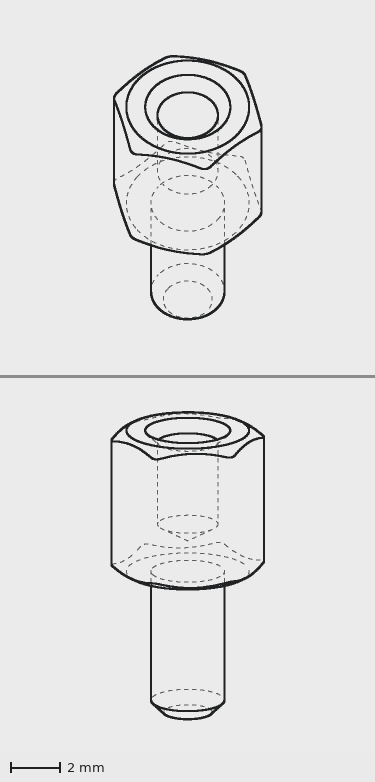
import cadquery as cq
import math

total_length = 12.0
head_length = total_length / 2
stud_length = total_length - head_length

across_flats = 5.5
edge_radius = 0.4
face_diameter = 5.0
end_bevel_angle = 30.0

stud_diameter = 3.0
stud_tip_chamfer = 0.5

bore_diameter = 2.46
bore_depth = 4.0
bore_tip_angle = 120.0
countersink_diameter = 3.47

across_corners = across_flats / math.cos(math.radians(30))


def make_head():
    """Hexagon with flats facing +X and -X, bevelled by a cone at both ends."""
    hexagon = (
        cq.Workplane("XY")
        .polygon(6, across_corners)
        .extrude(head_length)
        .rotate((0, 0, 0), (0, 0, 1), 30)
        .edges("|Z")
        .fillet(edge_radius)
    )
    face_radius = face_diameter / 2
    outer_radius = across_corners / 2
    bevel_height = (outer_radius - face_radius) * math.tan(math.radians(end_bevel_angle))
    envelope = (
        cq.Workplane("XZ")
        .moveTo(0, 0)
        .lineTo(face_radius, 0)
        .lineTo(outer_radius, bevel_height)
        .lineTo(outer_radius, head_length - bevel_height)
        .lineTo(face_radius, head_length)
        .lineTo(0, head_length)
        .close()
        .revolve(360, (0, 0), (0, 1))
    )
    return hexagon.intersect(envelope)


def make_stud():
    """Round stud below the head with a chamfered tip."""
    return (
        cq.Workplane("XY")
        .circle(stud_diameter / 2)
        .extrude(-stud_length)
        .faces("<Z")
        .chamfer(stud_tip_chamfer)
    )


def make_bore():
    """Blind drilled hole from the top face, with countersink and pointed bottom."""
    bore_radius = bore_diameter / 2
    countersink_radius = countersink_diameter / 2
    countersink_depth = countersink_radius - bore_radius
    bore_bottom = head_length - bore_depth
    point_depth = bore_radius / math.tan(math.radians(bore_tip_angle / 2))
    return (
        cq.Workplane("XZ")
        .moveTo(0, head_length)
        .lineTo(countersink_radius, head_length)
        .lineTo(bore_radius, head_length - countersink_depth)
        .lineTo(bore_radius, bore_bottom)
        .lineTo(0, bore_bottom - point_depth)
        .close()
        .revolve(360, (0, 0), (0, 1))
    )


result = make_head().union(make_stud()).cut(make_bore())